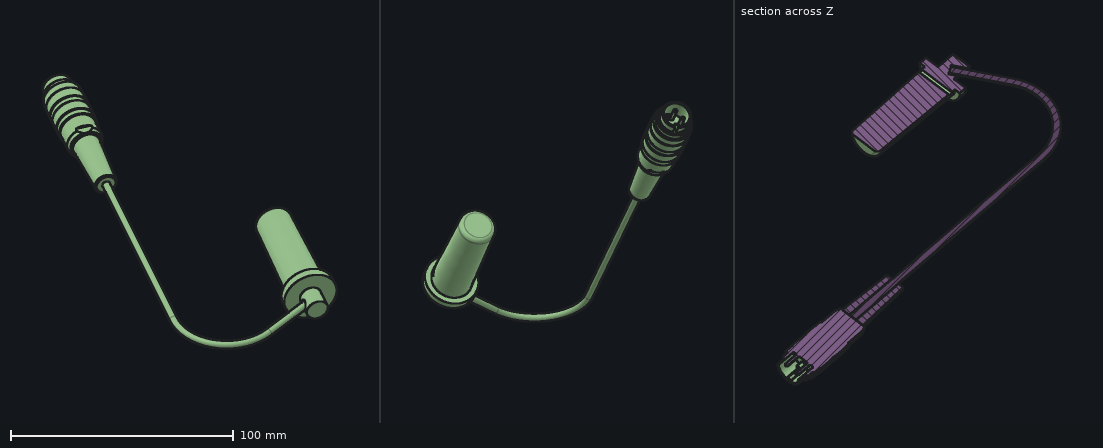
import cadquery as cq
import math

TOTAL_LENGTH = 193.3
TOTAL_WIDTH = 85.2

NOSE_DIA = 13.5
NOSE_END = 4.3
COLLAR_DIA = 16.0
COLLAR_CHAMFER = 0.5
SLEEVE_START = 7.7
SLEEVE_END = 30.3
SLEEVE_DIA = 18.2
LEAD_IN_DIA = 18.0
LEAD_IN = 0.5
BAND_DIA = 18.5
BAND_SPANS = [(12.0, 18.2), (21.0, 27.3)]
BAND_SLOPE = 0.4
BACK_DIA = 16.8
CONE_START = 39.6
CONE_END_DIA = 15.3
SHELL_END = 42.3
END_CHAMFER = 0.4
FLAT_START = 38.0
FLAT_HALF_HEIGHT = 7.5

SOCKET_DIA = 12.0
SOCKET_DEPTH = 9.7
CONTACT_DIA = 1.7
CONTACT_CHAMFER = 0.4
CONTACT_OFFSET = 3.5
CONTACT_TIP = 2.0
CONTACT_ANGLES = (0, 90, 180)
KEY_WIDTH = 2.3
KEY_AXIS_Z = -3.0
KEY_TIP = 5.8
KEY_CHAMFER = 0.5
RIDGE_WIDTH = KEY_WIDTH
RIDGE_AXIS_Z = -5.6
RIDGE_GROOVE_WIDTH = 1.4

BOOT_START_DIA = 13.0
BOOT_END_DIA = 10.2
BOOT_END = 70.2
BOOT_CHAMFER = 0.5

CABLE_DIA = 3.7
BEND_START = 166.2
BEND_RADIUS = TOTAL_LENGTH - CABLE_DIA / 2 - BEND_START
BEND_ANGLE = math.radians(120)

HANDLE_START = 116.7
HANDLE_TIP_DIA = 17.0
HANDLE_ROOT_DIA = 19.0
HANDLE_FILLET = 2.1
FLANGE_START = 166.6
FLANGE_END = 170.9
FLANGE_DIA = 25.0
HANDLE_Y = TOTAL_WIDTH - FLANGE_DIA / 2 - BAND_DIA / 2
STUB_DIA = 10.0
STUB_END = 180.7
ENTRY_DIA = 5.0
ENTRY_LENGTH = STUB_DIA
VENT_DIA = 1.7
VENT_X = 163.7


def bend_point(angle):
    """Point on the cable's centreline after it has turned by this angle in the bend."""
    return (BEND_START + BEND_RADIUS * math.sin(angle), BEND_RADIUS * (1 - math.cos(angle)))


BEND_END = bend_point(BEND_ANGLE)
LAST_RUN = (HANDLE_Y - BEND_END[1]) / math.sin(BEND_ANGLE)
CABLE_END = (BEND_END[0] + LAST_RUN * math.cos(BEND_ANGLE), HANDLE_Y)


def rod(dia, start, end, y=0.0, z=0.0):
    """Round rod parallel to X."""
    return cq.Workplane("YZ", origin=(start, y, z)).circle(dia / 2).extrude(end - start)


def turned(points, y=0.0):
    """Solid of revolution about the line parallel to X at this Y, from (x, radius) points."""
    outline = [(points[0][0], 0)] + points + [(points[-1][0], 0)]
    profile = cq.Workplane("XY", origin=(0, y, 0)).polyline(outline).close()
    return profile.revolve(360, (0, 0, 0), (1, 0, 0))


def round_topped_bar(width, axis_z, foot_z, start, end):
    """Bar parallel to X, from foot_z up to a round top about axis_z."""
    half = width / 2
    section = (
        cq.Workplane("YZ", origin=(start, 0, 0))
        .moveTo(-half, foot_z)
        .lineTo(half, foot_z)
        .lineTo(half, axis_z)
        .threePointArc((0, axis_z + half), (-half, axis_z))
        .close()
    )
    return section.extrude(end - start)


def connector_shell():
    """Stepped shell with two raised bands on the sleeve and a tapered rear end."""
    profile = [
        (0, NOSE_DIA / 2),
        (NOSE_END, NOSE_DIA / 2),
        (NOSE_END, COLLAR_DIA / 2 - COLLAR_CHAMFER),
        (NOSE_END + COLLAR_CHAMFER, COLLAR_DIA / 2),
        (SLEEVE_START, COLLAR_DIA / 2),
        (SLEEVE_START, LEAD_IN_DIA / 2),
        (SLEEVE_START + LEAD_IN, SLEEVE_DIA / 2),
    ]
    for start, end in BAND_SPANS:
        profile += [
            (start, SLEEVE_DIA / 2),
            (start + BAND_SLOPE, BAND_DIA / 2),
            (end - BAND_SLOPE, BAND_DIA / 2),
            (end, SLEEVE_DIA / 2),
        ]
    profile += [
        (SLEEVE_END, SLEEVE_DIA / 2),
        (SLEEVE_END, BACK_DIA / 2),
        (CONE_START, BACK_DIA / 2),
        (SHELL_END - END_CHAMFER, CONE_END_DIA / 2),
        (SHELL_END, CONE_END_DIA / 2 - END_CHAMFER),
    ]
    return turned(profile)


def wrench_flat_waste(side):
    """Block that leaves a flat on the upper (side 1) or lower (side -1) rear end of the shell."""
    length = SHELL_END - FLAT_START
    center_z = side * (FLAT_HALF_HEIGHT + BACK_DIA / 2)
    block = cq.Workplane("XY").box(length, BACK_DIA, BACK_DIA)
    return block.translate((FLAT_START + length / 2, 0, center_z))


def contact(angle):
    """Chamfered contact pin standing on the socket floor."""
    y = CONTACT_OFFSET * math.cos(math.radians(angle))
    z = CONTACT_OFFSET * math.sin(math.radians(angle))
    pin = rod(CONTACT_DIA, CONTACT_TIP, SOCKET_DEPTH, y, z)
    return pin.faces("<X").chamfer(CONTACT_CHAMFER)


def make_connector():
    body = connector_shell().cut(rod(SOCKET_DIA, 0, SOCKET_DEPTH))
    for side in (1, -1):
        body = body.cut(wrench_flat_waste(side))
    for angle in CONTACT_ANGLES:
        body = body.union(contact(angle))

    wall_middle_z = -(NOSE_DIA + SOCKET_DIA) / 4
    key = round_topped_bar(KEY_WIDTH, KEY_AXIS_Z, wall_middle_z, KEY_TIP, SOCKET_DEPTH)
    key = key.faces("<X").chamfer(KEY_CHAMFER)
    ridge = round_topped_bar(RIDGE_WIDTH, RIDGE_AXIS_Z, wall_middle_z, 0, SOCKET_DEPTH)
    groove = round_topped_bar(RIDGE_GROOVE_WIDTH, RIDGE_AXIS_Z, -NOSE_DIA, 0, NOSE_END)
    return body.union(key).union(ridge).cut(groove)


def make_boot():
    """Tapered sleeve around the cable, butting against the connector's rear face."""
    boot = turned([(SHELL_END, BOOT_START_DIA / 2), (BOOT_END, BOOT_END_DIA / 2)])
    boot = boot.faces(">X").chamfer(BOOT_CHAMFER)
    return boot.cut(rod(CABLE_DIA, SHELL_END, BOOT_END))


def make_cable():
    """Round cable: straight from the connector, one bend, then straight into the stub."""
    path = (
        cq.Workplane("XY")
        .moveTo(SHELL_END, 0)
        .lineTo(BEND_START, 0)
        .threePointArc(bend_point(BEND_ANGLE / 2), BEND_END)
        .lineTo(*CABLE_END)
    )
    return cq.Workplane("YZ", origin=(SHELL_END, 0, 0)).circle(CABLE_DIA / 2).sweep(path)


def cable_entry():
    """Clearance hole in the stub, in line with the cable's last straight run."""
    outward = (-math.cos(BEND_ANGLE), -math.sin(BEND_ANGLE), 0)
    plane = cq.Plane(origin=(*CABLE_END, 0), xDir=(0, 0, 1), normal=outward)
    return cq.Workplane(plane).circle(ENTRY_DIA / 2).extrude(ENTRY_LENGTH)


def make_handle():
    """Tapered grip with a cross hole, a flange and the stub that takes the cable."""
    grip = turned([(HANDLE_START, HANDLE_TIP_DIA / 2), (FLANGE_START, HANDLE_ROOT_DIA / 2)], HANDLE_Y)
    grip = grip.faces("<X").edges().fillet(HANDLE_FILLET)
    vent = (
        cq.Workplane("XZ", origin=(VENT_X, HANDLE_Y, 0))
        .circle(VENT_DIA / 2)
        .extrude(HANDLE_ROOT_DIA, both=True)
    )
    flange = rod(FLANGE_DIA, FLANGE_START, FLANGE_END, HANDLE_Y)
    stub = rod(STUB_DIA, FLANGE_END, STUB_END, HANDLE_Y)
    return grip.cut(vent).union(flange).union(stub).cut(cable_entry())


connector = make_connector()
boot = make_boot()
cable = make_cable()
handle = make_handle()
result = cq.Compound.makeCompound([connector.val(), boot.val(), cable.val(), handle.val()])